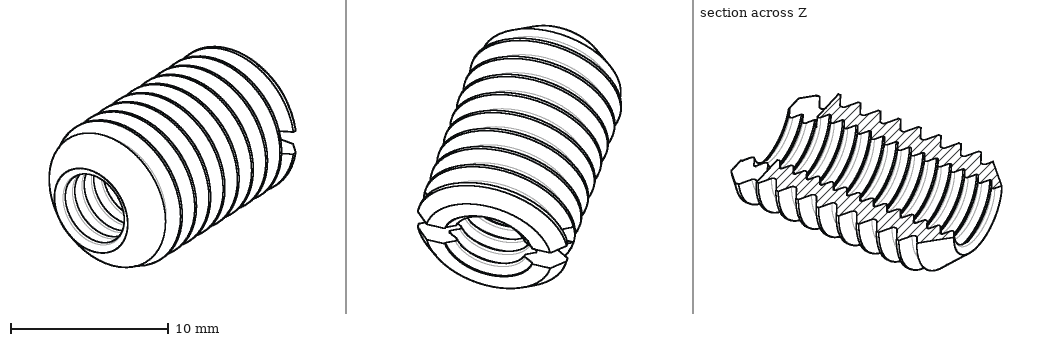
import cadquery as cq
import math

length = 15.91
outer_diameter = 10.0
bore_diameter = 6.0

outer_pitch = outer_diameter * 0.15
first_crest = 2.91
outer_grooves = 9

point_diameter = 5.85
tail_chamfer = 0.83

slot_width = 1.6
slot_depth = 2.42

inner_pitch = bore_diameter / 6
inner_lead = 0.11

flank_angle = math.radians(60)
crest_flat_ratio = 1 / 8
root_radius_ratio = 1 / 6
depth_ratio = 17 / 24


def sharp_v_height(pitch):
    """Height of the V formed by two flanks if they ran on to sharp corners."""
    return pitch / 2 * math.tan(flank_angle)


def add_groove(profile, crest_radius, pitch, start):
    """Extend a profile from the crest centred at start, over one groove, to the next crest."""
    fillet = root_radius_ratio * sharp_v_height(pitch)
    bottom = crest_radius - depth_ratio * sharp_v_height(pitch)
    middle = start + pitch / 2
    crest_half = crest_flat_ratio * pitch / 2
    tangent_radius = bottom + fillet * (1 - math.cos(flank_angle))
    tangent_half = fillet * math.sin(flank_angle)
    return (
        profile.lineTo(crest_radius, start + crest_half)
        .lineTo(tangent_radius, middle - tangent_half)
        .threePointArc((bottom, middle), (tangent_radius, middle + tangent_half))
        .lineTo(crest_radius, start + pitch - crest_half)
    )


def threaded_rod(diameter, pitch, start, grooves):
    """Solid rod along Y with ring grooves, ending on the middle of its first and last crests."""
    radius = diameter / 2
    end = start + grooves * pitch
    profile = cq.Workplane("XY").moveTo(0, start).lineTo(radius, start)
    for index in range(grooves):
        profile = add_groove(profile, radius, pitch, start + index * pitch)
    profile = profile.lineTo(radius, end).lineTo(0, end).close()
    return profile.revolve(360, (0, 0, 0), (0, 1, 0))


def end_envelope():
    """Blank with a 45 degree cone at the point and a 45 degree chamfer at the tail."""
    radius = outer_diameter / 2
    point_radius = point_diameter / 2
    profile = (
        cq.Workplane("XY")
        .lineTo(point_radius, 0)
        .lineTo(radius, radius - point_radius)
        .lineTo(radius, length - tail_chamfer)
        .lineTo(radius - tail_chamfer, length)
        .lineTo(0, length)
        .close()
    )
    return profile.revolve(360, (0, 0, 0), (0, 1, 0))


def outer_body():
    """Threaded rod trimmed by the blank with its coned ends."""
    start = first_crest - outer_pitch
    end = start + outer_grooves * outer_pitch
    rod = threaded_rod(outer_diameter, outer_pitch, start, outer_grooves)
    tip = cq.Workplane("XZ").circle(outer_diameter / 2).extrude(-start)
    tail = (
        cq.Workplane("XZ", origin=(0, end, 0))
        .circle(outer_diameter / 2)
        .extrude(-(length - end))
    )
    return rod.union(tip).union(tail).intersect(end_envelope())


def bore():
    """Threaded through hole whose first flank meets the rim of the point."""
    grooves = math.ceil((length + inner_lead) / inner_pitch)
    return threaded_rod(bore_diameter, inner_pitch, -inner_lead, grooves)


def slot():
    """Straight slot across the tail, open along X."""
    return cq.Workplane("XY").box(outer_diameter, 2 * slot_depth, slot_width).translate((0, length, 0))


result = outer_body().cut(bore()).cut(slot())